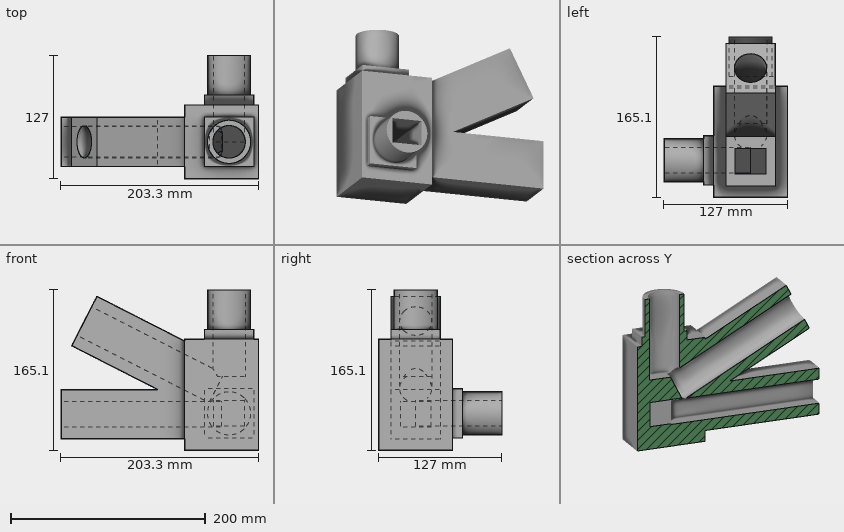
import cadquery as cq
import math

HOUSING_SIDE = 76.2
HOUSING_HEIGHT = 114.3
HALF_SIDE = HOUSING_SIDE / 2

PAD_SIDE = 50.8
PAD_THICKNESS = 10.16
PAD_EDGE_GAP = 5.08
PIPE_DIAMETER = 44.45
PIPE_LENGTH = 40.64
STUB_LENGTH = PAD_THICKNESS + PIPE_LENGTH
STUB_X = HALF_SIDE - PAD_EDGE_GAP - PAD_SIDE / 2
SIDE_STUB_Z = 38.1

TOP_BORE_DIAMETER = 33.45
TOP_BORE_DEPTH = STUB_LENGTH + 38.1

PASSAGE_WIDTH = 31.75
PASSAGE_HEIGHT = 25.9
SIDE_PASSAGE_DEPTH = STUB_LENGTH + HALF_SIDE

OVERALL_X = 203.29
ARM_WIDTH = 50.8
ARM_HEIGHT = 50.8
ARM_BOTTOM_Z = 11.8
ARM_Z = ARM_BOTTOM_Z + ARM_HEIGHT / 2
ARM_LENGTH = OVERALL_X - HALF_SIDE
ARM_END_X = -ARM_LENGTH

INCLINE_ANGLE = math.radians(27.0)
INCLINED_ARM_DEPTH = 57.15
INCLINED_END_X = ARM_END_X + 23.9
INCLINED_END_Z = 133.0
INCLINED_BORE_DIAMETER = 33.02
INCLINED_LENGTH = 152.4

TOP_FACE = cq.Plane((STUB_X, 0, HOUSING_HEIGHT), xDir=(1, 0, 0), normal=(0, 0, 1))
SIDE_FACE = cq.Plane((STUB_X, HALF_SIDE, SIDE_STUB_Z), xDir=(1, 0, 0), normal=(0, 1, 0))

STRAIGHT_END = cq.Plane((ARM_END_X, 0, ARM_Z), xDir=(0, 1, 0), normal=(1, 0, 0))
INCLINED_END = cq.Plane(
    (INCLINED_END_X, 0, INCLINED_END_Z),
    xDir=(0, 1, 0),
    normal=(math.cos(INCLINE_ANGLE), 0, -math.sin(INCLINE_ANGLE)),
)


def bar(plane, width, height, length):
    """Rectangular bar centred on the plane's origin, along its normal."""
    return cq.Workplane(plane).rect(width, height).extrude(length)


def rod(plane, diameter, length):
    """Round rod centred on the plane's origin, along its normal."""
    return cq.Workplane(plane).circle(diameter / 2).extrude(length)


def stub(face):
    """Square pad on a housing face, with a round pipe standing on it."""
    pad = bar(face, PAD_SIDE, PAD_SIDE, PAD_THICKNESS)
    return pad.union(rod(face, PIPE_DIAMETER, STUB_LENGTH))


def mouth(face):
    """Plane of a stub's open end, with its normal pointing into the housing."""
    return cq.Plane(face.toWorldCoords((0, 0, STUB_LENGTH)), xDir=face.xDir, normal=-face.zDir)


def make_body():
    """Housing with its two arms and two pipe stubs, all solid."""
    housing = bar(cq.Plane.XY(), HOUSING_SIDE, HOUSING_SIDE, HOUSING_HEIGHT)
    straight_arm = bar(STRAIGHT_END, ARM_WIDTH, ARM_HEIGHT, ARM_LENGTH)
    inclined_arm = bar(INCLINED_END, ARM_WIDTH, INCLINED_ARM_DEPTH, INCLINED_LENGTH)
    arms = straight_arm.union(inclined_arm)
    return housing.union(arms).union(stub(TOP_FACE)).union(stub(SIDE_FACE))


def cut_round_bores(body):
    """Blind bores of the top stub and the inclined arm, meeting inside the housing."""
    top_bore = rod(mouth(TOP_FACE), TOP_BORE_DIAMETER, TOP_BORE_DEPTH)
    inclined_bore = rod(INCLINED_END, INCLINED_BORE_DIAMETER, INCLINED_LENGTH)
    return body.cut(top_bore).cut(inclined_bore)


def cut_rectangular_passages(body):
    """Passages of the side stub and the straight arm, meeting inside the housing."""
    side_passage = bar(mouth(SIDE_FACE), PASSAGE_WIDTH, PASSAGE_HEIGHT, SIDE_PASSAGE_DEPTH)
    arm_passage = bar(STRAIGHT_END, PASSAGE_WIDTH, PASSAGE_HEIGHT, ARM_LENGTH)
    return body.cut(side_passage).cut(arm_passage)


result = cut_rectangular_passages(cut_round_bores(make_body()))